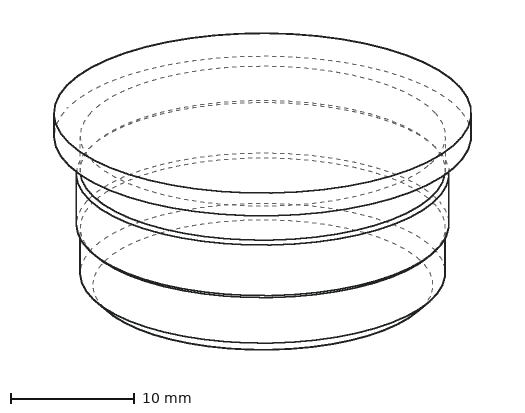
import cadquery as cq

head_diameter = 33.7
total_height = 18.0

body_diameter = 29.5
base_chamfer = 1.0

band_diameter = 30.1
band_bottom = 5.0
band_top = 10.0
band_chamfer = (band_diameter - body_diameter) / 2

flange_bottom = 13.0
flange_thickness = 2.0

head_radius = head_diameter / 2
flange_top = flange_bottom + flange_thickness
dome_height = total_height - flange_top


def make_body():
    body = cq.Workplane("XY").circle(body_diameter / 2).extrude(flange_bottom)
    return body.faces("<Z").chamfer(base_chamfer)


def make_band():
    band = (
        cq.Workplane("XY")
        .workplane(offset=band_bottom)
        .circle(band_diameter / 2)
        .extrude(band_top - band_bottom)
    )
    return band.faces("<Z or >Z").chamfer(band_chamfer)


def make_head():
    dome_radius = (head_radius**2 + dome_height**2) / (2 * dome_height)
    dome_center_z = total_height - dome_radius
    mid_x = head_radius / 2
    mid_z = dome_center_z + (dome_radius**2 - mid_x**2) ** 0.5
    profile = (
        cq.Workplane("XZ")
        .moveTo(0, flange_bottom)
        .lineTo(head_radius, flange_bottom)
        .lineTo(head_radius, flange_top)
        .threePointArc((mid_x, mid_z), (0, total_height))
        .close()
    )
    return profile.revolve(360, (0, 0, 0), (0, 1, 0))


result = make_body().union(make_band()).union(make_head())